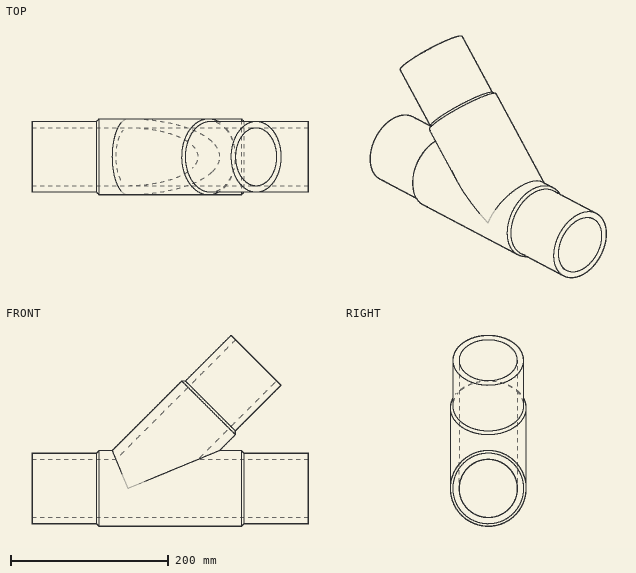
import cadquery as cq

run_length = 351.0
spigot_diameter = 90.0
body_diameter = 96.5
bore_diameter = 73.7
body_length = 187.5
shoulder_chamfer = (body_diameter - spigot_diameter) / 2

branch_angle = 45.0
branch_origin_x = -53.7
branch_length = 230.3
branch_body_length = 148.0


def cylinder(plane, diameter, start, length):
    """Cylinder along the plane normal, beginning at the given distance."""
    return cq.Workplane(plane).workplane(offset=start).circle(diameter / 2).extrude(length)


run_plane = cq.Plane.YZ()
branch_plane = cq.Plane(origin=(branch_origin_x, 0, 0), xDir=(0, 1, 0), normal=(1, 0, 0))
branch_plane = branch_plane.rotated((-branch_angle, 0, 0))

run_body = cylinder(run_plane, body_diameter, -body_length / 2, body_length)
run_body = run_body.faces("<X or >X").chamfer(shoulder_chamfer)
run_spigots = cylinder(run_plane, spigot_diameter, -run_length / 2, run_length)

branch_body = cylinder(branch_plane, body_diameter, 0, branch_body_length)
branch_body = branch_body.faces(cq.selectors.DirectionMinMaxSelector(branch_plane.zDir))
branch_body = branch_body.chamfer(shoulder_chamfer)
branch_spigot = cylinder(branch_plane, spigot_diameter, 0, branch_length)

outside = run_body.union(run_spigots).union(branch_body).union(branch_spigot)

run_bore = cylinder(run_plane, bore_diameter, -run_length / 2, run_length)
branch_bore = cylinder(branch_plane, bore_diameter, 0, branch_length)
result = outside.cut(run_bore).cut(branch_bore)